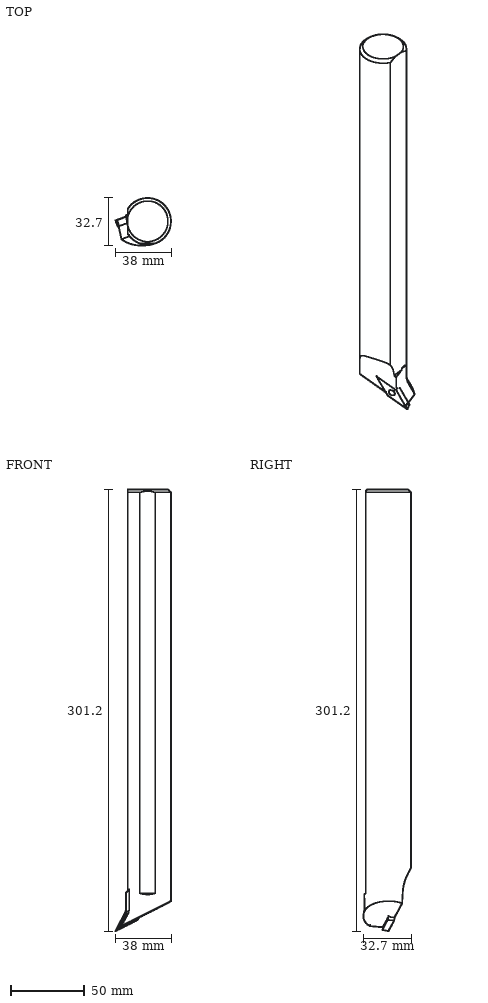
import cadquery as cq
import math

BAR_LENGTH = 301.2
BAR_RADIUS = 16.0
TOP_CHAMFER = 2.0

SIDE_FLAT_OFFSET = 13.5
FRONT_FLAT_OFFSET = 15.0
FLAT_END_Z = 25.0

TIP_X = -22.0
TIP_Y = 0.5
RAKE_ANGLE = 13.0
RAKE_TILT = 4.0

INSERT_SIDE = 16.5
INSERT_CORNER_ANGLE = 35.0
INSERT_THICKNESS = 4.5
INSERT_RELIEF = 3.0
INSERT_HOLE_DIAMETER = 4.5
LEAD_ANGLE = 26.0
SIDE_EDGE_ANGLE = LEAD_ANGLE + INSERT_CORNER_ANGLE

BEND_TOP_Z = 15.5
BEND_BOTTOM_Z = 12.7
HEAD_FACE_X = -14.2
HEAD_FACE_ANGLE = 10.0
HEAD_FACE_TOP_Z = 28.5
END_FACE_SETBACK = 1.5
END_FACE_RELIEF = 1.0

GULLET_START_Z = 27.0
GULLET_RADIUS = 24.0

CLEAR = 60.2

rake = math.radians(RAKE_ANGLE)
RAKE_DIR = cq.Vector(math.cos(rake), math.sin(rake), 0)
tilt = math.radians(RAKE_TILT)
INTO_HEAD = cq.Vector(
    math.sin(rake) * math.cos(tilt),
    -math.cos(rake) * math.cos(tilt),
    math.sin(tilt),
)
RAKE_UP = INTO_HEAD.cross(RAKE_DIR)
TIP = cq.Vector(TIP_X, TIP_Y, 0)
RAKE_PLANE = cq.Plane(origin=TIP, xDir=RAKE_DIR, normal=INTO_HEAD)


def rake_point(length, angle):
    """Polar point in the rake plane, measured from the tip."""
    return (length * math.cos(math.radians(angle)), length * math.sin(math.radians(angle)))


def make_insert_blank():
    near = rake_point(INSERT_SIDE, LEAD_ANGLE)
    side = rake_point(INSERT_SIDE, SIDE_EDGE_ANGLE)
    far = (near[0] + side[0], near[1] + side[1])
    outline = cq.Workplane(RAKE_PLANE).polyline([(0, 0), near, far, side]).close()
    return outline.extrude(INSERT_THICKNESS, taper=INSERT_RELIEF)


def make_insert():
    half_diagonal = INSERT_SIDE * math.cos(math.radians(INSERT_CORNER_ANGLE / 2))
    center = rake_point(half_diagonal, LEAD_ANGLE + INSERT_CORNER_ANGLE / 2)
    hole = (
        cq.Workplane(RAKE_PLANE)
        .center(*center)
        .circle(INSERT_HOLE_DIAMETER / 2)
        .extrude(INSERT_THICKNESS)
    )
    return make_insert_blank().cut(hole)


def flat_cutter(offset):
    """Block beyond X = -offset with a 45 degree run-out at its lower end."""
    return (
        cq.Workplane("XZ", origin=(0, CLEAR, 0))
        .moveTo(-offset, BAR_LENGTH)
        .lineTo(-offset, FLAT_END_Z + BAR_RADIUS - offset)
        .lineTo(-offset - CLEAR, FLAT_END_Z + BAR_RADIUS - offset - CLEAR)
        .lineTo(-offset - CLEAR, BAR_LENGTH)
        .close()
        .extrude(2 * CLEAR)
    )


def make_shank():
    """Round bar with a chamfered top and two clamping flats, down to the bend."""
    bar = (
        cq.Workplane("XY", origin=(0, 0, BEND_TOP_Z))
        .circle(BAR_RADIUS)
        .extrude(BAR_LENGTH - BEND_TOP_Z)
        .faces(">Z")
        .chamfer(TOP_CHAMFER)
    )
    front_flat = flat_cutter(FRONT_FLAT_OFFSET).rotate((0, 0, 0), (0, 0, 1), 90)
    return bar.cut(flat_cutter(SIDE_FLAT_OFFSET)).cut(front_flat)


def head_face_cutter():
    """Block beyond the head's side face, from the run-out of the side flat down."""
    return (
        cq.Workplane("XY")
        .box(CLEAR, 2 * CLEAR, HEAD_FACE_TOP_Z, centered=(False, True, False))
        .translate((-CLEAR, 0, 0))
        .rotate((0, 0, 0), (0, 0, 1), HEAD_FACE_ANGLE)
        .translate((HEAD_FACE_X, 0, 0))
    )


def lean_segment(start_face, drop, angle):
    """Sweep a level face downwards, leaning towards the tip at an angle in the rake plane."""
    reach = drop / RAKE_UP.z / math.tan(math.radians(angle))
    path = RAKE_DIR * -reach - RAKE_UP * (drop / RAKE_UP.z)
    segment = cq.Solid.extrudeLinear(start_face.outerWire(), [], path)
    return cq.Workplane(segment)


def end_face_cutter():
    """Everything below the head's sloping, relieved end face."""
    lead = math.radians(LEAD_ANGLE)
    relief = math.radians(END_FACE_RELIEF)
    edge = RAKE_DIR * math.cos(lead) + RAKE_UP * math.sin(lead)
    edge_normal = INTO_HEAD.cross(edge)
    across = INTO_HEAD * math.cos(relief) + edge_normal * math.sin(relief)
    start = TIP + edge_normal * END_FACE_SETBACK
    plane = cq.Plane(origin=start, xDir=edge, normal=across.cross(edge) * -1)
    return cq.Workplane(plane).rect(4 * CLEAR, 4 * CLEAR).extrude(CLEAR)


def gullet_cutter():
    """Space ahead of the rake plane, closed above by the concave gullet arc."""
    profile = cq.Plane(origin=TIP - RAKE_DIR * CLEAR, xDir=INTO_HEAD * -1, normal=RAKE_DIR)
    half_turn = math.sqrt(0.5) * GULLET_RADIUS
    return (
        cq.Workplane(profile)
        .moveTo(0, -CLEAR)
        .lineTo(0, GULLET_START_Z)
        .threePointArc(
            (GULLET_RADIUS - half_turn, GULLET_START_Z + half_turn),
            (GULLET_RADIUS, GULLET_START_Z + GULLET_RADIUS),
        )
        .lineTo(GULLET_RADIUS, -CLEAR)
        .close()
        .extrude(3 * CLEAR)
    )


def make_holder():
    body = make_shank().cut(head_face_cutter())
    bend_angle = (90 + SIDE_EDGE_ANGLE) / 2
    bend = lean_segment(body.faces("<Z").val(), BEND_TOP_Z - BEND_BOTTOM_Z, bend_angle)
    nose = lean_segment(bend.faces("<Z").val(), BEND_BOTTOM_Z, SIDE_EDGE_ANGLE)
    body = body.union(bend).union(nose)
    body = body.cut(end_face_cutter()).cut(gullet_cutter())
    return body.cut(make_insert_blank())


holder = make_holder()
insert = make_insert()
result = cq.Compound.makeCompound([holder.solids().val(), insert.solids().val()])